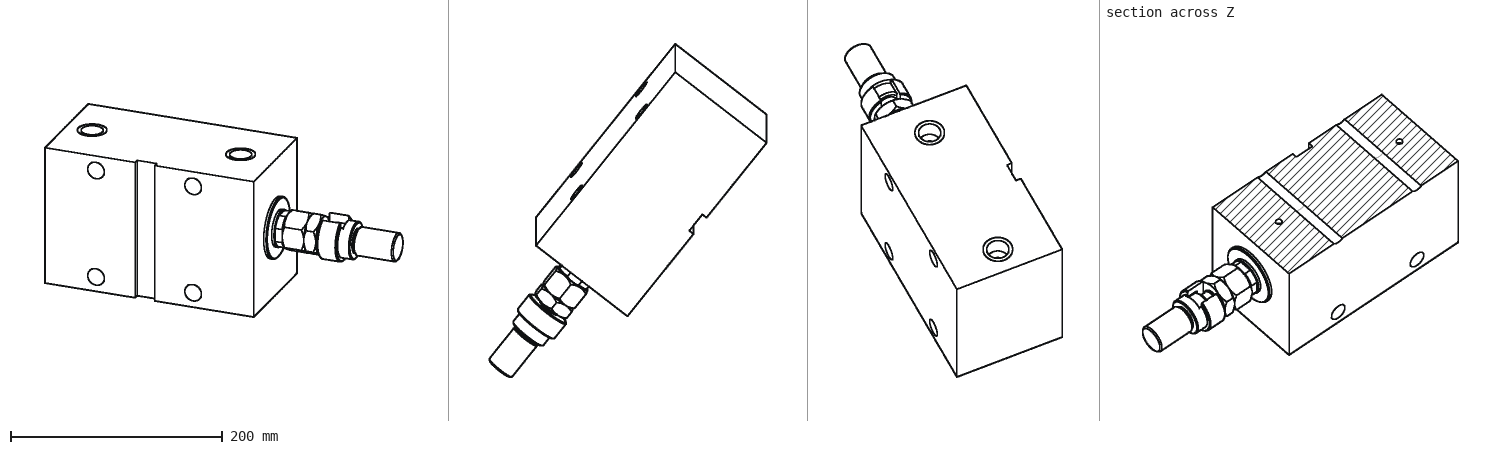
import cadquery as cq
import math


BLOCK_LENGTH = 212.5
BLOCK_DEPTH = 110.0
BLOCK_HEIGHT = 140.0

MOUNT_DIAMETER = 17.0
MOUNT_X = (52.0, 151.0)
MOUNT_SPACING_Z = 110.0

KEYWAY_X = 91.8
KEYWAY_WIDTH = 20.0
KEYWAY_DEPTH = 5.0

PORT_X = (26.0, 177.2)
SPOT_FACE_DIAMETER = 28.0
SPOT_FACE_DEPTH = 0.5
PORT_DIAMETER = 21.0
PORT_DEPTH = 17.0
FEED_DIAMETER = 5.7
FEED_DEPTH = 27.0

GUIDE_END = 216.0
GUIDE_RADIUS = 30.0
GUIDE_CHAMFER = 1.0
WIPER_END = 219.0
WIPER_RADIUS = 18.2
WIPER_CHAMFER = 0.7

ROD_START = 185.5
ROD_END = 226.8
ROD_RADIUS = 17.5
ROD_CHAMFER = 1.0
FLAT_DISTANCE = 16.2

ACROSS_FLATS = 36.5
HEX_CHAMFER = 2.5
NUT_END = 248.7
HEX_END = 261.0

THREAD_RADIUS = 10.0
THREAD_START = 202.5
SHOULDER_END = 262.5
NECK_RADIUS = 9.5
HEAD_START = 271.7
HEAD_END = 285.0
HEAD_RADIUS = 14.2
HEAD_CHAMFER = 2.0

CLAW_START = 263.5
CLAW_RADIUS = 22.3
CLAW_END = 283.0
CLAW_CHAMFER = 1.0
COLLAR_RADIUS = 18.2
COLLAR_END = 295.3
GROOVE_RADIUS = 12.0
SHANK_START = 297.0
SHANK_RADIUS = 14.0
SHANK_END = 337.5
SHANK_CHAMFER = 1.5
SLOT_WIDTH = 19.5
HEAD_CLEARANCE = 0.7


def cylinder(start, end, radius):
    """Cylinder on the X axis from start to end."""
    return cq.Workplane("YZ").workplane(offset=start).circle(radius).extrude(end - start)


def chamfered_cylinder(start, end, radius, chamfer, edges):
    """Cylinder on the X axis with the rims picked by an edge selector chamfered."""
    return cylinder(start, end, radius).faces(edges).chamfer(chamfer)


def chamfered_hexagon(start, end):
    """Hexagonal prism with corners at +Z and -Z, both ends turned down to the flats."""
    corner_radius = ACROSS_FLATS / math.sqrt(3)
    prism = (
        cq.Workplane("YZ").workplane(offset=start)
        .transformed(rotate=(0, 0, 90))
        .polygon(6, 2 * corner_radius)
        .extrude(end - start)
    )
    face_radius = ACROSS_FLATS / 2
    turned = (
        cq.Workplane("XY")
        .moveTo(start, 0)
        .lineTo(start, face_radius)
        .lineTo(start + HEX_CHAMFER, corner_radius)
        .lineTo(end - HEX_CHAMFER, corner_radius)
        .lineTo(end, face_radius)
        .lineTo(end, 0)
        .close()
        .revolve(360, (0, 0, 0), (1, 0, 0))
    )
    return prism.intersect(turned)


def make_housing():
    """Block with rod guide, keyway, mounting holes, oil ports and rod bore."""
    block = cq.Workplane("XY").box(
        BLOCK_LENGTH, BLOCK_DEPTH, BLOCK_HEIGHT, centered=(False, True, True)
    )
    keyway = cq.Workplane("XY").box(
        KEYWAY_WIDTH, 2 * KEYWAY_DEPTH, BLOCK_HEIGHT, centered=(False, True, True)
    ).translate((KEYWAY_X, -BLOCK_DEPTH / 2, 0))
    mount_points = [(x, side * MOUNT_SPACING_Z / 2) for x in MOUNT_X for side in (-1, 1)]
    mount_holes = (
        cq.Workplane("XZ").pushPoints(mount_points)
        .circle(MOUNT_DIAMETER / 2)
        .extrude(BLOCK_DEPTH, both=True)
    )
    housing = block.cut(keyway).cut(mount_holes)

    port_steps = (
        (SPOT_FACE_DIAMETER, SPOT_FACE_DEPTH),
        (PORT_DIAMETER, PORT_DEPTH),
        (FEED_DIAMETER, FEED_DEPTH),
    )
    for diameter, depth in port_steps:
        bores = (
            cq.Workplane("XY").workplane(offset=BLOCK_HEIGHT / 2)
            .pushPoints([(x, 0) for x in PORT_X])
            .circle(diameter / 2)
            .extrude(-depth)
        )
        housing = housing.cut(bores)

    guide = chamfered_cylinder(BLOCK_LENGTH, GUIDE_END, GUIDE_RADIUS, GUIDE_CHAMFER, ">X")
    wiper = chamfered_cylinder(GUIDE_END, WIPER_END, WIPER_RADIUS, WIPER_CHAMFER, ">X")
    rod_bore = cylinder(ROD_START, WIPER_END, ROD_RADIUS)
    return housing.union(guide).union(wiper).cut(rod_bore)


def make_rod():
    """Piston rod with four wrench flats outside the housing and a threaded end bore."""
    square = (
        cq.Workplane("YZ").workplane(offset=WIPER_END)
        .rect(2 * FLAT_DISTANCE, 2 * FLAT_DISTANCE)
        .extrude(ROD_END - WIPER_END)
    )
    flatted_end = chamfered_cylinder(
        WIPER_END, ROD_END, ROD_RADIUS, ROD_CHAMFER, ">X"
    ).intersect(square)
    guided_length = cylinder(ROD_START, WIPER_END, ROD_RADIUS)
    return guided_length.union(flatted_end).cut(cylinder(THREAD_START, ROD_END, THREAD_RADIUS))


def make_lock_nut():
    """Hexagon nut between the rod and the hexagon of the coupling bolt."""
    return chamfered_hexagon(ROD_END, NUT_END).cut(cylinder(ROD_END, NUT_END, THREAD_RADIUS))


def make_coupling_bolt():
    """Bolt with thread, hexagon, neck and a round head held in the claw."""
    thread = cylinder(THREAD_START, NUT_END, THREAD_RADIUS)
    hexagon = chamfered_hexagon(NUT_END, HEX_END)
    shoulder = cylinder(HEX_END, SHOULDER_END, THREAD_RADIUS)
    neck = cylinder(HEX_END, HEAD_START, NECK_RADIUS)
    head = chamfered_cylinder(HEAD_START, HEAD_END, HEAD_RADIUS, HEAD_CHAMFER, "<X")
    return thread.union(hexagon).union(shoulder).union(neck).union(head)


def make_claw():
    """Claw with a slot open to +Z and a round pocket for the bolt head."""
    jaw = chamfered_cylinder(CLAW_START, CLAW_END, CLAW_RADIUS, CLAW_CHAMFER, "<X or >X")
    collar = chamfered_cylinder(CLAW_END, COLLAR_END, COLLAR_RADIUS, CLAW_CHAMFER, ">X")
    groove = cylinder(COLLAR_END, SHANK_START, GROOVE_RADIUS)
    shank = chamfered_cylinder(
        SHANK_START, SHANK_END, SHANK_RADIUS, SHANK_CHAMFER, "<X or >X"
    )
    pocket_end = HEAD_END + HEAD_CLEARANCE
    slot_length = pocket_end - CLAW_START
    slot = cq.Workplane("XY").box(
        slot_length, SLOT_WIDTH, CLAW_RADIUS, centered=(False, True, False)
    ).translate((CLAW_START, 0, 0))
    slot_bottom = cylinder(CLAW_START, pocket_end, SLOT_WIDTH / 2)
    pocket = cylinder(HEAD_START - HEAD_CLEARANCE, pocket_end, HEAD_RADIUS + HEAD_CLEARANCE)
    body = jaw.union(collar).union(groove).union(shank)
    return body.cut(slot).cut(slot_bottom).cut(pocket)


housing = make_housing()
rod = make_rod()
lock_nut = make_lock_nut()
coupling_bolt = make_coupling_bolt()
claw = make_claw()

result = cq.Compound.makeCompound([
    housing.val(),
    rod.val(),
    lock_nut.val(),
    coupling_bolt.val(),
    claw.val(),
])